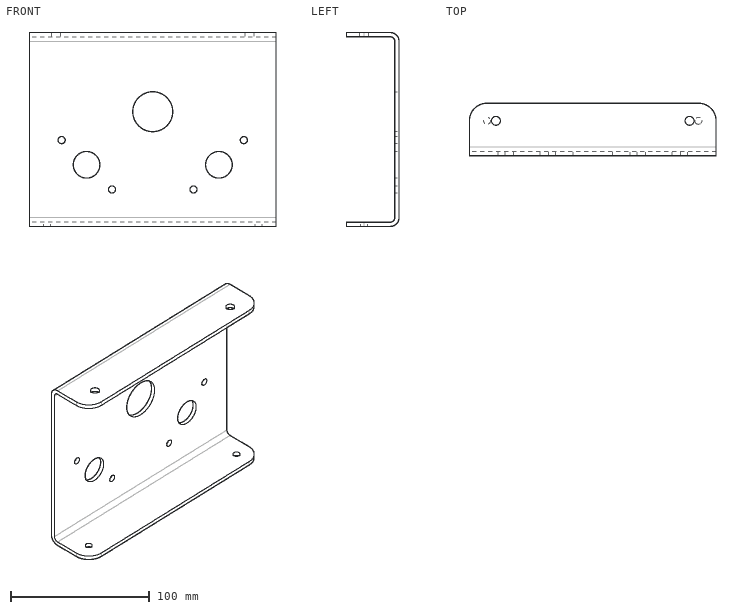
import cadquery as cq

width = 177.8
depth = 38.0
height = 139.8
sheet = 3.2
bend_outer = 6.4
bend_inner = bend_outer - sheet
flange_corner = 12.8

main_hole_diameter = 28.6
main_hole_z = 12.8
side_hole_diameter = 19.0
side_hole_x = 47.7
side_hole_z = -25.5
screw_diameter = 5.0
outer_screw_x = 65.6
outer_screw_z = -7.6
inner_screw_x = 29.3
inner_screw_z = -43.2

flange_hole_y = depth - flange_corner
top_hole_diameter = 6.4
top_hole_x = 69.7
bottom_hole_diameter = 5.0
bottom_hole_x = width / 2 - flange_corner


def channel():
    """U channel with its web outer face on Y = 0 and flanges toward +Y."""
    outer = (
        cq.Workplane("XY").box(width, depth, height, centered=(True, False, True))
        .edges("|X and <Y").fillet(bend_outer)
    )
    inner = (
        cq.Workplane("XY").box(width, depth, height - 2 * sheet, centered=(True, False, True))
        .edges("|X and <Y").fillet(bend_inner)
        .translate((0, sheet, 0))
    )
    return outer.cut(inner).edges("|Z and >Y").fillet(flange_corner)


def web_holes(diameter, points):
    """Cutters along Y, at (x, z) points, that pass through the web."""
    return (
        cq.Workplane("XZ").pushPoints(points).circle(diameter / 2)
        .extrude(depth, both=True)
    )


def flange_holes(diameter, x, direction):
    """Pair of cutters along Z from mid-height; direction is 1 for the top flange, -1 for the bottom."""
    return (
        cq.Workplane("XY").pushPoints(mirrored(x, flange_hole_y))
        .circle(diameter / 2).extrude(direction * height)
    )


def mirrored(x, other):
    """A left and right pair of points."""
    return [(-x, other), (x, other)]


body = channel()
body = body.cut(web_holes(main_hole_diameter, [(0, main_hole_z)]))
body = body.cut(web_holes(side_hole_diameter, mirrored(side_hole_x, side_hole_z)))
screw_points = mirrored(outer_screw_x, outer_screw_z) + mirrored(inner_screw_x, inner_screw_z)
body = body.cut(web_holes(screw_diameter, screw_points))

body = body.cut(flange_holes(top_hole_diameter, top_hole_x, 1))
result = body.cut(flange_holes(bottom_hole_diameter, bottom_hole_x, -1))